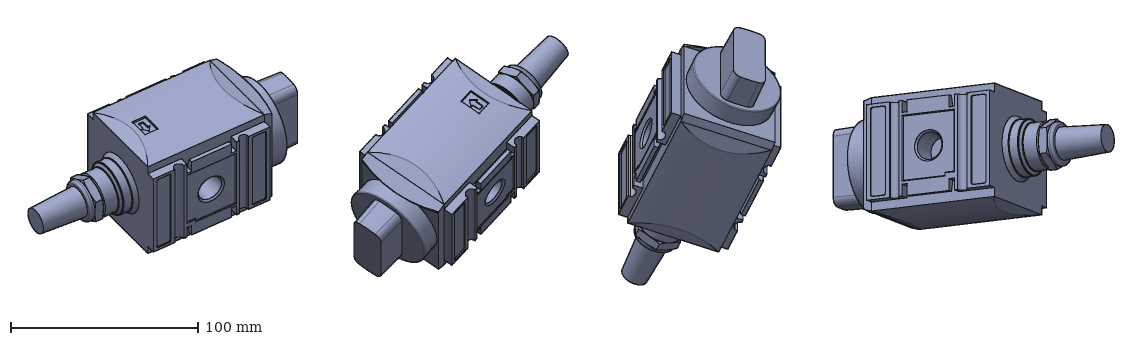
import cadquery as cq
import math


HOUSING_WIDTH = 52.5
HOUSING_LENGTH = 75.0
HOUSING_EDGE_Z = 31.0
OVERALL_HEIGHT = 67.1
BEVEL_LENGTH = 8.5
CROWN_TOP_Z = OVERALL_HEIGHT / 2
HALF_WIDTH = HOUSING_WIDTH / 2
HALF_LENGTH = HOUSING_LENGTH / 2
BEVEL_SLOPE = (CROWN_TOP_Z - HOUSING_EDGE_Z) / BEVEL_LENGTH

OVERALL_WIDTH = 63.0
FACE_X = OVERALL_WIDTH / 2
FLANGE_THICKNESS = FACE_X - HALF_WIDTH
FLANGE_HEIGHT = 52.3
FLANGE_TOP_Z = FLANGE_HEIGHT / 2
GROOVE_RADIUS = 3.1
GROOVE_Y = 21.0
GROOVE_WALL_Y = 23.7
PAD_WIDTH = 9.1
PAD_HEIGHT = 48.8
PAD_Y = 30.7
PAD_CORNER_RADIUS = 1.3
PAD_DEPTH = 0.8
HOOK_FLOOR_Z = 19.7
HOOK_HALF_LENGTH = 12.8
HOOK_TIP_THICKNESS = 2.5
HOOK_ROOT_THICKNESS = 4.2
SLOT_OUTER_Y = 16.0

SEAT_HALF_LENGTH = SLOT_OUTER_Y
SEAT_HALF_HEIGHT = 18.0
SEAT_NOTCH_Y = 10.4
SEAT_NOTCH_Z = 16.2
SEAT_DEPTH = 0.5
SEAT_WALL_TAPER = 45
PORT_DIAMETER = 15.0
PORT_MOUTH_DIAMETER = 17.0
PORT_DEPTH = 16.2

ARROW_POCKET_LENGTH = 12.4
ARROW_POCKET_WIDTH = 8.5
ARROW_POCKET_Y = -21.6
ARROW_POCKET_DEPTH = 1.5
ARROW_DEPTH = 1.0
ARROW_TAIL_X = -4.2
ARROW_NECK_X = 0.3
ARROW_TIP_X = 3.7
ARROW_SHAFT_HALF = 1.5
ARROW_HEAD_HALF = 2.8

FRONT_Y = -HALF_LENGTH
NOZZLE_END_Y = -92.1
SHOULDER_BASE_DIAMETER = 35.6
SHOULDER_END_DIAMETER = 31.7
SHOULDER_LENGTH = 2.6
STEP_LAND_LENGTH = 0.5
COLLAR_DIAMETER = 31.0
COLLAR_LENGTH = 5.5
STEP_BASE_DIAMETER = 29.9
STEP_END_DIAMETER = 26.6
STEP_LENGTH = 2.1
NECK_DIAMETER = 26.0
NECK_LENGTH = 8.8
NECK_CHAMFER = 0.6
HEX_ACROSS_FLATS = 24.0
HEX_LENGTH = 5.4
HEX_CORNER_CUT = 0.5
RING_DIAMETER = HEX_ACROSS_FLATS
RING_LENGTH = 3.0
RING_END_DIAMETER = 21.0
TIP_BASE_DIAMETER = 18.0
TIP_END_DIAMETER = 15.0

CAP_PLATE_LENGTH = 4.7
CAP_END_Y = HALF_LENGTH + CAP_PLATE_LENGTH
LIP_TIP_Y = 46.6
LIP_UNDERSIDE_Z = 28.0
DRUM_DIAMETER = 50.0
DRUM_END_DIAMETER = 50.5
DRUM_END_Y = 53.0
DRUM_EDGE_ROUND = 0.5
PLUG_END_Y = 70.4
PLUG_WIDTH = 19.3
PLUG_HEIGHT = 43.5
PLUG_SHOULDER_Z = 20.8
PLUG_CORNER_RADIUS = 4.4
PLUG_TAPER = 1.5


def crowned_block(start_y, end_y):
    """Block along Y whose top and bottom are shallow arcs across X."""
    return (
        cq.Workplane("XZ", origin=(0, start_y, 0))
        .moveTo(-HALF_WIDTH, -HOUSING_EDGE_Z)
        .threePointArc((0, -CROWN_TOP_Z), (HALF_WIDTH, -HOUSING_EDGE_Z))
        .lineTo(HALF_WIDTH, HOUSING_EDGE_Z)
        .threePointArc((0, CROWN_TOP_Z), (-HALF_WIDTH, HOUSING_EDGE_Z))
        .close()
        .extrude(start_y - end_y)
    )


def side_prism(points):
    """Prism across the full housing width from a (y, z) outline."""
    return cq.Workplane("YZ").polyline(points).close().extrude(HALF_WIDTH, both=True)


def bevelled_block():
    """Crowned block with the crown bevelled at both ends."""
    crown_y = HALF_LENGTH - BEVEL_LENGTH
    envelope = side_prism([
        (-HALF_LENGTH, -HOUSING_EDGE_Z),
        (-crown_y, -CROWN_TOP_Z),
        (crown_y, -CROWN_TOP_Z),
        (HALF_LENGTH, -HOUSING_EDGE_Z),
        (HALF_LENGTH, HOUSING_EDGE_Z),
        (crown_y, CROWN_TOP_Z),
        (-crown_y, CROWN_TOP_Z),
        (-HALF_LENGTH, HOUSING_EDGE_Z),
    ])
    return crowned_block(-HALF_LENGTH, HALF_LENGTH).intersect(envelope)


def clamping_groove():
    """Round groove along Z on the -X flange face, with a flat outer wall."""
    groove = cq.Workplane("XY").center(-FACE_X, GROOVE_Y).circle(GROOVE_RADIUS)
    groove = groove.extrude(FLANGE_TOP_Z, both=True)
    inner_side = cq.Workplane("XY").center(-FACE_X, GROOVE_WALL_Y - GROOVE_RADIUS)
    inner_side = inner_side.rect(2 * GROOVE_RADIUS, 2 * GROOVE_RADIUS).extrude(FLANGE_TOP_Z, both=True)
    return groove.intersect(inner_side)


def pad_recess():
    """Shallow rounded recess near one end of the -X flange face."""
    pad = cq.Workplane("YZ", origin=(-FACE_X, PAD_Y, 0)).rect(PAD_WIDTH, PAD_HEIGHT).extrude(PAD_DEPTH)
    return pad.edges("|X").fillet(PAD_CORNER_RADIUS)


def hook_cut():
    """Two slots and the undercut pocket joining them, which leave a hook at the top of the -X flange."""
    slot_width = SLOT_OUTER_Y - HOOK_HALF_LENGTH
    slot_height = FLANGE_TOP_Z - HOOK_FLOOR_Z
    cut = (
        cq.Workplane("XZ")
        .moveTo(-FACE_X + HOOK_TIP_THICKNESS, FLANGE_TOP_Z)
        .lineTo(-FACE_X + HOOK_ROOT_THICKNESS, HOOK_FLOOR_Z)
        .lineTo(-HALF_WIDTH, HOOK_FLOOR_Z)
        .lineTo(-HALF_WIDTH, FLANGE_TOP_Z)
        .close()
        .extrude(HOOK_HALF_LENGTH, both=True)
    )
    for side in (-1, 1):
        slot_y = side * (HOOK_HALF_LENGTH + slot_width / 2)
        slot = cq.Workplane("XY", origin=(-FACE_X, slot_y, HOOK_FLOOR_Z))
        cut = cut.union(slot.box(FLANGE_THICKNESS, slot_width, slot_height, centered=(False, True, False)))
    return cut


def port_seat():
    """Shallow bevelled square recess round the port, with one notched corner."""
    return (
        cq.Workplane("YZ", origin=(-FACE_X, 0, 0))
        .moveTo(-SEAT_HALF_LENGTH, SEAT_HALF_HEIGHT)
        .lineTo(SEAT_HALF_LENGTH, SEAT_HALF_HEIGHT)
        .lineTo(SEAT_HALF_LENGTH, -SEAT_HALF_HEIGHT)
        .lineTo(-SEAT_NOTCH_Y, -SEAT_HALF_HEIGHT)
        .lineTo(-SEAT_NOTCH_Y, -SEAT_NOTCH_Z)
        .lineTo(-SEAT_HALF_LENGTH, -SEAT_NOTCH_Z)
        .close()
        .extrude(SEAT_DEPTH, taper=SEAT_WALL_TAPER)
    )


def port_bore():
    """Blind port with a countersunk mouth, opening in the seat floor."""
    mouth_x = -FACE_X + SEAT_DEPTH
    mouth_chamfer = (PORT_MOUTH_DIAMETER - PORT_DIAMETER) / 2
    return (
        cq.Workplane("XY")
        .moveTo(mouth_x, 0)
        .lineTo(mouth_x, PORT_MOUTH_DIAMETER / 2)
        .lineTo(mouth_x + mouth_chamfer, PORT_DIAMETER / 2)
        .lineTo(mouth_x + PORT_DEPTH, PORT_DIAMETER / 2)
        .lineTo(mouth_x + PORT_DEPTH, 0)
        .close()
        .revolve(360, (0, 0, 0), (1, 0, 0))
    )


def flange():
    """Complete mounting flange on the -X side, without its port."""
    plate = cq.Workplane("XY", origin=(-FACE_X, 0, 0)).box(
        FLANGE_THICKNESS, HOUSING_LENGTH, FLANGE_HEIGHT, centered=(False, True, True)
    )
    for cut in (clamping_groove(), pad_recess()):
        plate = plate.cut(cut).cut(cut.mirror("XZ"))
    top_hook = hook_cut()
    return plate.cut(top_hook).cut(top_hook.mirror("XY")).cut(port_seat())


def arrow_pocket():
    """Rectangular pocket in the crown with an arrow pointing to +X sunk in its floor."""
    floor_z = CROWN_TOP_Z - ARROW_POCKET_DEPTH
    plane = cq.Workplane("XY", origin=(0, ARROW_POCKET_Y, floor_z))
    pocket = plane.rect(ARROW_POCKET_LENGTH, ARROW_POCKET_WIDTH).extrude(ARROW_POCKET_DEPTH)
    arrow = plane.polyline([
        (ARROW_TAIL_X, -ARROW_SHAFT_HALF),
        (ARROW_NECK_X, -ARROW_SHAFT_HALF),
        (ARROW_NECK_X, -ARROW_HEAD_HALF),
        (ARROW_TIP_X, 0),
        (ARROW_NECK_X, ARROW_HEAD_HALF),
        (ARROW_NECK_X, ARROW_SHAFT_HALF),
        (ARROW_TAIL_X, ARROW_SHAFT_HALF),
    ]).close().extrude(-ARROW_DEPTH)
    return pocket.union(arrow)


def nozzle_hexagon(start_y):
    """Hexagon with corners at +Z and -Z, its corners chamfered at both ends."""
    flat_radius = HEX_ACROSS_FLATS / 2
    corner_radius = flat_radius / math.cos(math.pi / 6)
    end_y = start_y - HEX_LENGTH
    prism = cq.Workplane("XZ", origin=(0, start_y, 0)).transformed(rotate=(0, 0, 90))
    prism = prism.polygon(6, 2 * corner_radius).extrude(HEX_LENGTH)
    envelope = (
        cq.Workplane("XY")
        .moveTo(0, start_y)
        .lineTo(flat_radius, start_y)
        .lineTo(corner_radius, start_y - HEX_CORNER_CUT)
        .lineTo(corner_radius, end_y + HEX_CORNER_CUT)
        .lineTo(flat_radius, end_y)
        .lineTo(0, end_y)
        .close()
        .revolve(360, (0, 0, 0), (0, 1, 0))
    )
    return prism.intersect(envelope)


def nozzle():
    """Stepped nozzle with a hexagon, a rounded ring and a tapered tip."""
    shoulder_y = FRONT_Y - SHOULDER_LENGTH
    collar_y = shoulder_y - COLLAR_LENGTH
    step_y = collar_y - STEP_LENGTH
    neck_y = step_y - NECK_LENGTH
    hex_y = neck_y - HEX_LENGTH
    ring_y = hex_y - RING_LENGTH
    ring_round = (RING_DIAMETER - RING_END_DIAMETER) / 2
    arc_inset = ring_round * (1 - math.sqrt(0.5))
    turned = (
        cq.Workplane("XY")
        .moveTo(0, FRONT_Y)
        .lineTo(SHOULDER_BASE_DIAMETER / 2, FRONT_Y)
        .lineTo(SHOULDER_END_DIAMETER / 2, shoulder_y)
        .lineTo(SHOULDER_END_DIAMETER / 2, shoulder_y - STEP_LAND_LENGTH)
        .lineTo(COLLAR_DIAMETER / 2, shoulder_y - STEP_LAND_LENGTH)
        .lineTo(COLLAR_DIAMETER / 2, collar_y)
        .lineTo(STEP_BASE_DIAMETER / 2, collar_y)
        .lineTo(STEP_BASE_DIAMETER / 2, collar_y - STEP_LAND_LENGTH)
        .lineTo(STEP_END_DIAMETER / 2, step_y + STEP_LAND_LENGTH)
        .lineTo(STEP_END_DIAMETER / 2, step_y)
        .lineTo(NECK_DIAMETER / 2, step_y)
        .lineTo(NECK_DIAMETER / 2, neck_y + NECK_CHAMFER)
        .lineTo(NECK_DIAMETER / 2 - NECK_CHAMFER, neck_y)
        .lineTo(RING_DIAMETER / 2, neck_y)
        .lineTo(RING_DIAMETER / 2, ring_y + ring_round)
        .threePointArc(
            (RING_DIAMETER / 2 - arc_inset, ring_y + arc_inset),
            (RING_END_DIAMETER / 2, ring_y),
        )
        .lineTo(TIP_BASE_DIAMETER / 2, ring_y)
        .lineTo(TIP_END_DIAMETER / 2, NOZZLE_END_Y)
        .lineTo(0, NOZZLE_END_Y)
        .close()
        .revolve(360, (0, 0, 0), (0, 1, 0))
    )
    return turned.union(nozzle_hexagon(neck_y))


def make_housing():
    """Housing block with both flanges, their ports and the nozzle."""
    body = bevelled_block().cut(arrow_pocket())
    near_flange = flange()
    bore = port_bore()
    body = body.union(near_flange).union(near_flange.mirror("YZ"))
    body = body.cut(bore).cut(bore.mirror("YZ"))
    return body.union(nozzle())


def cap_plate():
    """End plate that carries on the slope of the end bevels."""
    end_z = HOUSING_EDGE_Z - BEVEL_SLOPE * CAP_PLATE_LENGTH
    return side_prism([
        (HALF_LENGTH, -HOUSING_EDGE_Z),
        (CAP_END_Y, -end_z),
        (CAP_END_Y, end_z),
        (HALF_LENGTH, HOUSING_EDGE_Z),
    ])


def cap_lip():
    """Thin bowed lip over the drum, in line with the top slope of the plate."""
    tip_z = HOUSING_EDGE_Z - BEVEL_SLOPE * (LIP_TIP_Y - HALF_LENGTH)
    wedge = side_prism([
        (HALF_LENGTH, LIP_UNDERSIDE_Z),
        (LIP_TIP_Y, LIP_UNDERSIDE_Z),
        (LIP_TIP_Y, tip_z),
        (HALF_LENGTH, HOUSING_EDGE_Z),
    ])
    bow = (
        cq.Workplane("XY")
        .moveTo(-HALF_WIDTH, HALF_LENGTH)
        .lineTo(-HALF_WIDTH, CAP_END_Y)
        .threePointArc((0, LIP_TIP_Y), (HALF_WIDTH, CAP_END_Y))
        .lineTo(HALF_WIDTH, HALF_LENGTH)
        .close()
        .extrude(HOUSING_EDGE_Z)
    )
    return wedge.intersect(bow)


def cap_drum():
    """Slightly flared round drum behind the plate."""
    return (
        cq.Workplane("XY")
        .moveTo(0, CAP_END_Y)
        .lineTo(DRUM_DIAMETER / 2, CAP_END_Y)
        .lineTo(DRUM_END_DIAMETER / 2, DRUM_END_Y)
        .lineTo(0, DRUM_END_Y)
        .close()
        .revolve(360, (0, 0, 0), (0, 1, 0))
        .faces(">Y").edges().fillet(DRUM_EDGE_ROUND)
    )


def cap_plug():
    """Tapered plug with flat sides, bowed top and bottom and rounded corners."""
    half_width = PLUG_WIDTH / 2
    half_height = PLUG_HEIGHT / 2
    bowed = (
        cq.Workplane("XZ", origin=(0, DRUM_END_Y, 0))
        .moveTo(-half_width, -PLUG_SHOULDER_Z)
        .threePointArc((0, -half_height), (half_width, -PLUG_SHOULDER_Z))
        .lineTo(half_width, PLUG_SHOULDER_Z)
        .threePointArc((0, half_height), (-half_width, PLUG_SHOULDER_Z))
        .close()
        .extrude(DRUM_END_Y - PLUG_END_Y, taper=PLUG_TAPER)
    )
    return bowed.edges("not(<Y or >Y)").fillet(PLUG_CORNER_RADIUS)


def make_end_cap():
    """End cap that meets the flat +Y end of the housing."""
    return cap_plate().union(cap_lip()).union(cap_drum()).union(cap_plug())


housing = make_housing()
end_cap = make_end_cap()

result = cq.Compound.makeCompound([housing.val(), end_cap.val()])